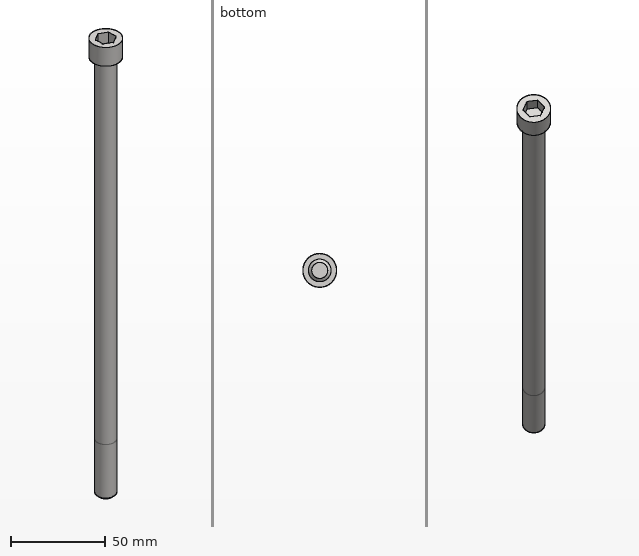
import cadquery as cq
import math

thread_diameter = 12.0
shank_length = 280.0
thread_length = 36.0

head_diameter = 18.0
head_height = thread_diameter

socket_sides = 6
socket_across_flats = 10.0
socket_depth = 7.0

tip_chamfer = 1.75


def make_body():
    """Head, plain shank and threaded length turned as one profile."""
    shank_radius = thread_diameter / 2
    head_radius = head_diameter / 2
    tip_z = -shank_length
    thread_start_z = tip_z + thread_length
    profile = (
        cq.Workplane("XZ")
        .moveTo(0, tip_z)
        .lineTo(shank_radius - tip_chamfer, tip_z)
        .lineTo(shank_radius, tip_z + tip_chamfer)
        .lineTo(shank_radius, thread_start_z)
        .lineTo(shank_radius, 0)
        .lineTo(head_radius, 0)
        .lineTo(head_radius, head_height)
        .lineTo(0, head_height)
        .close()
    )
    return profile.revolve(360, (0, 0, 0), (0, 1, 0), clean=False)


def make_socket():
    """Hexagonal key socket with two corners on the X axis."""
    across_corners = socket_across_flats / math.cos(math.pi / socket_sides)
    return (
        cq.Workplane("XY")
        .workplane(offset=head_height - socket_depth)
        .polygon(socket_sides, across_corners)
        .extrude(socket_depth)
    )


result = make_body().cut(make_socket(), clean=False)